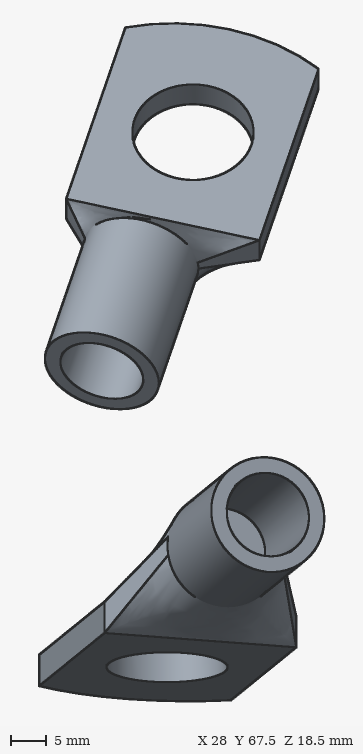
import cadquery as cq

total_length = 67.5
total_height = 18.5

palm_width = 28.0
palm_thickness = 4.5
tip_rise = 3.5
hole_diameter = 16.95
hole_to_tip = 19.0

barrel_length = 21.05
barrel_diameter = 16.55
bore_diameter = 12.0

neck_length = 11.4

palm_start = barrel_length + neck_length
half_width = palm_width / 2
barrel_axis_z = total_height - barrel_diameter / 2
hole_y = total_length - hole_to_tip


def make_palm():
    """Flat plate with a shallow arched tip and a bolt hole."""
    shoulder_y = total_length - tip_rise
    plate = (
        cq.Workplane("XY")
        .moveTo(-half_width, palm_start)
        .lineTo(half_width, palm_start)
        .lineTo(half_width, shoulder_y)
        .threePointArc((0, total_length), (-half_width, shoulder_y))
        .close()
        .extrude(palm_thickness)
    )
    bolt_hole = (
        cq.Workplane("XY")
        .center(0, hole_y)
        .circle(hole_diameter / 2)
        .extrude(palm_thickness)
    )
    return plate.cut(bolt_hole)


def make_barrel_cylinder(diameter):
    """Cylinder along the barrel axis, as long as the barrel."""
    return (
        cq.Workplane("XZ")
        .center(0, barrel_axis_z)
        .circle(diameter / 2)
        .extrude(-barrel_length)
    )


def make_neck():
    """Solid blend from the round barrel to the rectangular palm."""
    return (
        cq.Workplane("XZ", origin=(0, barrel_length, barrel_axis_z))
        .circle(barrel_diameter / 2)
        .workplane(offset=-neck_length, origin=(0, barrel_length, palm_thickness / 2))
        .rect(palm_width, palm_thickness)
        .loft()
    )


outer_barrel = make_barrel_cylinder(barrel_diameter)
bore = make_barrel_cylinder(bore_diameter)
result = outer_barrel.union(make_neck()).union(make_palm()).cut(bore)